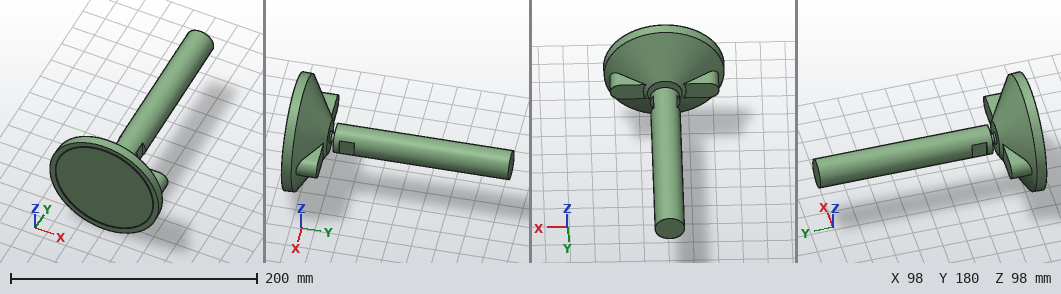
import cadquery as cq
import math

TOTAL_LENGTH = 180.0

BASE_DIAMETER = 98.0
RIM_TOP_DIAMETER = 97.2
RIM_HEIGHT = 8.1
CONE_TOP_DIAMETER = 28.0
FOOT_HEIGHT = 30.0

PAD_DIAMETER = 87.5
GROOVE_OUTER_DIAMETER = 88.0
GROOVE_DEPTH = 0.9

LUG_SPAN = 88.0
LUG_WIDTH = 16.5
LUG_TOP = 27.9

NECK_DIAMETER = 7.7
BALL_DIAMETER = 12.5
BALL_CENTER = 26.6

STEM_DIAMETER = 24.0
STEM_START = 35.0
FLATS_START = 39.8
FLATS_LENGTH = 12.5
ACROSS_FLATS = 18.9


def ball_point(y):
    """Return the profile point where the ball's surface passes the height y."""
    return math.sqrt((BALL_DIAMETER / 2) ** 2 - (y - BALL_CENTER) ** 2), y


def make_turned_body():
    """Revolve the foot, ball, neck and stem together about the Y axis."""
    neck_start = BALL_CENTER + math.sqrt(BALL_DIAMETER**2 - NECK_DIAMETER**2) / 2
    return (
        cq.Workplane("XY")
        .moveTo(0, 0)
        .lineTo(BASE_DIAMETER / 2, 0)
        .lineTo(RIM_TOP_DIAMETER / 2, RIM_HEIGHT)
        .lineTo(CONE_TOP_DIAMETER / 2, FOOT_HEIGHT)
        .lineTo(*ball_point(FOOT_HEIGHT))
        .threePointArc(ball_point((FOOT_HEIGHT + neck_start) / 2), (NECK_DIAMETER / 2, neck_start))
        .lineTo(NECK_DIAMETER / 2, STEM_START)
        .lineTo(STEM_DIAMETER / 2, STEM_START)
        .lineTo(STEM_DIAMETER / 2, TOTAL_LENGTH)
        .lineTo(0, TOTAL_LENGTH)
        .close()
        .revolve(360, (0, 0, 0), (0, 1, 0))
    )


def make_lugs():
    """Make the bar whose ends stand out of the cone, from the rim up to the lug top."""
    return (
        cq.Workplane("XZ", origin=(0, LUG_TOP, 0))
        .slot2D(LUG_SPAN, LUG_WIDTH)
        .extrude(LUG_TOP - RIM_HEIGHT)
    )


def make_pad_groove():
    """Make the ring removed from the base face."""
    return (
        cq.Workplane("XZ", origin=(0, GROOVE_DEPTH, 0))
        .circle(GROOVE_OUTER_DIAMETER / 2)
        .circle(PAD_DIAMETER / 2)
        .extrude(GROOVE_DEPTH)
    )


def make_flat_cutter(side):
    """Make the block that cuts the wrench flat on the -X (-1) or +X (1) side."""
    cutter_width = STEM_DIAMETER
    return cq.Workplane("XY").box(cutter_width, FLATS_LENGTH, STEM_DIAMETER).translate(
        (side * (ACROSS_FLATS + cutter_width) / 2, FLATS_START + FLATS_LENGTH / 2, 0)
    )


result = make_turned_body().union(make_lugs()).cut(make_pad_groove())
for flat_side in (-1, 1):
    result = result.cut(make_flat_cutter(flat_side))